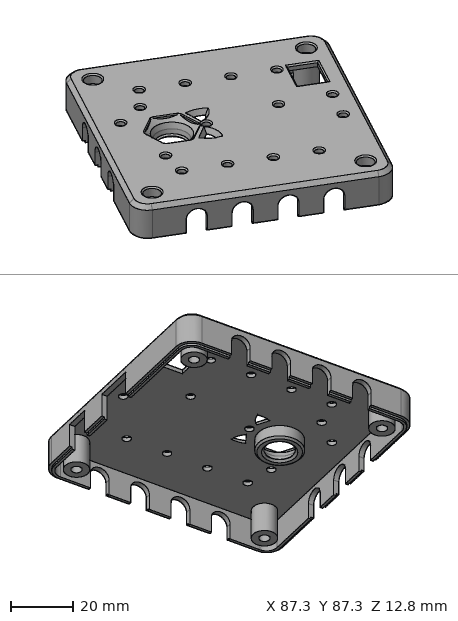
import cadquery as cq
import math

SIDE = 87.28
HEIGHT = 12.8
WALL = 2.0
CORNER_RADIUS = 6.0
TOP_CHAMFER = 1.5
LIP_HEIGHT = 0.8
LIP_INSET = 1.0
INNER_SIDE = SIDE - 2 * WALL
UNDERSIDE_Z = HEIGHT - WALL
EDGE_BREAK = 0.5

GRID = 2.54
CABLE_PITCH = 6 * GRID

LIGHT_DIAMETER = 3.0
SIDE_ROW_COUNT = 4
SIDE_ROWS = [(row - (SIDE_ROW_COUNT - 1) / 2) * CABLE_PITCH for row in range(SIDE_ROW_COUNT)]
SIDE_LIGHT_X = 10 * GRID
FRONT_LIGHT_Y = -10 * GRID
REAR_LIGHT_X = 2.5 * GRID
REAR_LIGHT_Y = 36.1
CONTROL_LIGHT_Y = -34.0
LIGHT_POSITIONS = (
    [(x, y) for x in (-SIDE_LIGHT_X, SIDE_LIGHT_X) for y in SIDE_ROWS]
    + [(x, FRONT_LIGHT_Y) for x in (-CABLE_PITCH, CABLE_PITCH)]
    + [(x, REAR_LIGHT_Y) for x in (-REAR_LIGHT_X, REAR_LIGHT_X)]
    + [(-2 * GRID, 7 * GRID), (0, -3 * GRID), (-3 * GRID, CONTROL_LIGHT_Y)]
)

SCREW_OFFSET = 35.5
SCREW_DIAMETER = 3.6
SCREW_HEAD_DIAMETER = 6.0
POST_DIAMETER = 8.5
SCREW_SEAT_Z = 9.2
SCREW_POSITIONS = [(x, y) for x in (-SCREW_OFFSET, SCREW_OFFSET) for y in (-SCREW_OFFSET, SCREW_OFFSET)]

SLOT_WIDTH = 7.0
SLOT_TOP_Z = 9.3
FRONT_COLUMNS = [-CABLE_PITCH, 0, CABLE_PITCH]

REAR_OPENINGS = [(-7.2, 7.2), (17.7, 26.7)]

WINDOW_WIDTH = 12.3
WINDOW_LENGTH = 10.1
WINDOW_CENTER = (-20.43, 31.72)

SOCKET_Y = -7.5 * GRID
SOCKET_BOSS_DIAMETER = 16.0
SOCKET_BOTTOM_Z = 6.0
SOCKET_BOSS_CHAMFER = 0.7
HEX_FLATS = 16.0
HEX_CHAMFER = 0.36
BORE_PROFILE = [
    (9.35, HEIGHT),
    (6.95, UNDERSIDE_Z),
    (6.1, 8.8),
    (5.7, 7.2),
    (5.0, 6.8),
    (5.8, SOCKET_BOTTOM_Z),
]

EAR_OUTER_TIP = (-8.75, -4.6)
EAR_TOP_MIDDLE = (-4.9, -5.5)
EAR_INNER_TIP = (-1.6, -8.85)
EAR_BASE = (-7.8, -12.3)
EAR_SIDE_MIDDLE = (-9.1, -8.2)
EAR_INSET = 1.15


def rounded_square(side, radius, bottom, top):
    blank = cq.Workplane("XY").workplane(offset=bottom).rect(side, side).extrude(top - bottom)
    return blank.edges("|Z").fillet(radius)


def cylinders(positions, diameter, bottom, top):
    plane = cq.Workplane("XY").workplane(offset=bottom)
    return plane.pushPoints(positions).circle(diameter / 2).extrude(top - bottom)


def countersinks(positions, diameter):
    plane = cq.Workplane("XY").workplane(offset=HEIGHT).pushPoints(positions)
    return plane.circle(diameter / 2 + EDGE_BREAK).extrude(-EDGE_BREAK, taper=45)


def shell():
    body = rounded_square(SIDE, CORNER_RADIUS, LIP_HEIGHT, HEIGHT)
    body = body.faces(">Z").edges().chamfer(TOP_CHAMFER)
    lip = rounded_square(SIDE - 2 * LIP_INSET, CORNER_RADIUS - LIP_INSET, 0, LIP_HEIGHT)
    cavity = rounded_square(INNER_SIDE, CORNER_RADIUS - WALL, 0, UNDERSIDE_Z)
    return body.union(lip).cut(cavity)


def slot(width, length):
    """Round-topped slot, centred on the origin and running along Y."""
    shoulder = SLOT_TOP_Z - width / 2
    outline = (
        cq.Workplane("XZ")
        .moveTo(-width / 2, 0)
        .lineTo(-width / 2, shoulder)
        .threePointArc((0, SLOT_TOP_Z), (width / 2, shoulder))
        .lineTo(width / 2, 0)
        .close()
    )
    return outline.extrude(length / 2, both=True)


def cut_cable_slots(part):
    wall_middle = (SIDE - WALL) / 2
    wall_slot = slot(SLOT_WIDTH, WALL)
    for x in FRONT_COLUMNS:
        part = part.cut(wall_slot.translate((x, -wall_middle, 0)))
    side_slot = wall_slot.rotate((0, 0, 0), (0, 0, 1), 90)
    for x in (-wall_middle, wall_middle):
        for y in SIDE_ROWS:
            part = part.cut(side_slot.translate((x, y, 0)))
    return part


def cut_rear_openings(part):
    for left, right in REAR_OPENINGS:
        opening = cq.Workplane("XY").box(right - left, WALL, SLOT_TOP_Z, centered=False)
        part = part.cut(opening.translate((left, INNER_SIDE / 2, 0)))
    return part


def cut_window(part):
    plane = cq.Workplane("XY").workplane(offset=HEIGHT).center(*WINDOW_CENTER)
    opening = plane.rect(WINDOW_WIDTH, WINDOW_LENGTH).extrude(-WALL)
    rim_width = WINDOW_WIDTH + 2 * EDGE_BREAK
    rim_length = WINDOW_LENGTH + 2 * EDGE_BREAK
    rim = plane.rect(rim_width, rim_length).extrude(-EDGE_BREAK, taper=45)
    return part.cut(opening).cut(rim)


def cut_lights(part):
    part = part.cut(cylinders(LIGHT_POSITIONS, LIGHT_DIAMETER, UNDERSIDE_Z, HEIGHT))
    return part.cut(countersinks(LIGHT_POSITIONS, LIGHT_DIAMETER))


def add_screw_posts(part):
    part = part.union(cylinders(SCREW_POSITIONS, POST_DIAMETER, 0, UNDERSIDE_Z))
    part = part.cut(cylinders(SCREW_POSITIONS, SCREW_DIAMETER, 0, HEIGHT))
    part = part.cut(cylinders(SCREW_POSITIONS, SCREW_HEAD_DIAMETER, SCREW_SEAT_Z, HEIGHT))
    return part.cut(countersinks(SCREW_POSITIONS, SCREW_HEAD_DIAMETER))


def hexagon(flats, bottom):
    """Hexagon with corners towards +Y and -Y, on a plane at the given height."""
    corner_diameter = flats / math.cos(math.radians(30))
    return (
        cq.Workplane("XY")
        .workplane(offset=bottom)
        .transformed(rotate=(0, 0, 90))
        .polygon(6, corner_diameter)
    )


def socket_boss():
    boss = cylinders([(0, 0)], SOCKET_BOSS_DIAMETER, SOCKET_BOTTOM_Z, UNDERSIDE_Z)
    return boss.faces("<Z").chamfer(SOCKET_BOSS_CHAMFER)


def socket_recess():
    profile = [(0, HEIGHT), *BORE_PROFILE, (0, SOCKET_BOTTOM_Z)]
    bore = cq.Workplane("XZ").polyline(profile).close().revolve(360, (0, 0), (0, 1))
    prism = hexagon(HEX_FLATS, SOCKET_BOTTOM_Z).extrude(HEIGHT - SOCKET_BOTTOM_Z)
    rim = hexagon(HEX_FLATS + 2 * HEX_CHAMFER, HEIGHT).extrude(-HEX_CHAMFER, taper=45)
    return bore.intersect(prism.union(rim))


def add_socket(part):
    place = (0, SOCKET_Y, 0)
    part = part.union(socket_boss().translate(place))
    return part.cut(socket_recess().translate(place))


def cut_ears(part):
    ear = (
        cq.Workplane("XY")
        .workplane(offset=HEIGHT)
        .moveTo(*EAR_OUTER_TIP)
        .threePointArc(EAR_TOP_MIDDLE, EAR_INNER_TIP)
        .lineTo(*EAR_BASE)
        .threePointArc(EAR_SIDE_MIDDLE, EAR_OUTER_TIP)
        .close()
        .extrude(-WALL, taper=math.degrees(math.atan(EAR_INSET / WALL)))
    )
    return part.cut(ear).cut(ear.mirror("YZ"))


result = shell()
result = cut_cable_slots(result)
result = cut_rear_openings(result)
result = add_screw_posts(result)
result = add_socket(result)
result = cut_ears(result)
result = cut_window(result)
result = cut_lights(result)